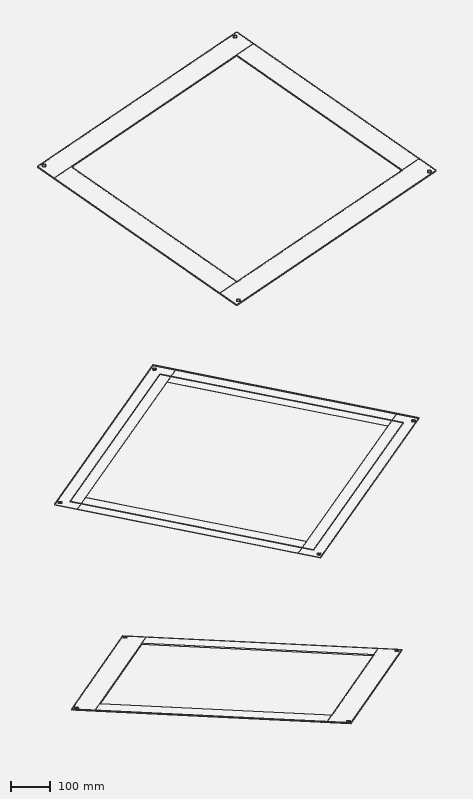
import cadquery as cq

LENGTH = 710.0
WIDTH = 700.0
THICKNESS = 4.8

PANEL_THICKNESS = 1.6
STRIP_THICKNESS = THICKNESS - PANEL_THICKNESS
OPENING_LENGTH = 590.0
STRIP_WIDTH = (LENGTH - OPENING_LENGTH) / 2
PANEL_INSET = STRIP_WIDTH / 2

HOLE_DIAMETER = 10.0
HOLE_INSET_X = 9.0
HOLE_INSET_Y = 15.0


def frame_strip(length, width, x=0, y=0):
    """Flat strip centred on (x, y), resting on the top face of the panel."""
    return cq.Workplane("XY", origin=(x, y, PANEL_THICKNESS)).rect(length, width).extrude(STRIP_THICKNESS)


def side_strip(side):
    """Full-width strip at the -X or +X edge, with a mounting hole near each end."""
    center_x = side * (LENGTH - STRIP_WIDTH) / 2
    hole_x = side * (LENGTH / 2 - HOLE_INSET_X) - center_x
    hole_y = WIDTH / 2 - HOLE_INSET_Y
    return (
        frame_strip(STRIP_WIDTH, WIDTH, x=center_x)
        .faces(">Z")
        .workplane(centerOption="CenterOfMass")
        .pushPoints([(hole_x, -hole_y), (hole_x, hole_y)])
        .hole(HOLE_DIAMETER)
    )


def cross_strip(side):
    """Strip at the -Y or +Y edge, fitted between the two side strips."""
    return frame_strip(OPENING_LENGTH, STRIP_WIDTH, y=side * (WIDTH - STRIP_WIDTH) / 2)


def base_panel():
    """Thin rectangular sheet that closes the opening from below."""
    panel_length = LENGTH - 2 * PANEL_INSET
    panel_width = WIDTH - 2 * PANEL_INSET
    return cq.Workplane("XY").rect(panel_length, panel_width).extrude(PANEL_THICKNESS)


side_strips = [side_strip(side).val() for side in (-1, 1)]
cross_strips = [cross_strip(side).val() for side in (-1, 1)]
panel = base_panel()

result = cq.Compound.makeCompound([*side_strips, *cross_strips, panel.val()])